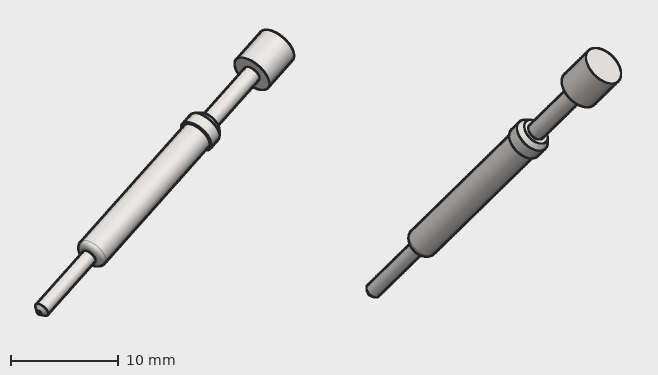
import cadquery as cq
import math

total_length = 38.0
head_diameter = 4.0
head_length = 4.0
plunger_diameter = 1.75
plunger_length = 7.03
collar_diameter = 3.5
collar_length = 1.85
collar_face_diameter = 2.65
collar_nose_length = 0.57
collar_nose_bulge = 0.05
barrel_diameter = 3.05
barrel_edge_radius = 0.57
tail_diameter = 1.5
tail_length = 7.98
tip_diameter = 0.57
tip_length = 0.4

head_top = total_length / 2
head_base = head_top - head_length
collar_top = head_base - plunger_length
collar_base = collar_top - collar_length
tail_end = head_top - total_length
tail_top = tail_end + tail_length
tip_base = tail_end + tip_length

head_radius = head_diameter / 2
plunger_radius = plunger_diameter / 2
collar_radius = collar_diameter / 2
collar_face_radius = collar_face_diameter / 2
barrel_radius = barrel_diameter / 2
tail_radius = tail_diameter / 2
tip_radius = tip_diameter / 2

arc_inset = barrel_edge_radius * (1 - math.sqrt(0.5))

outline = (
    cq.Workplane("XY")
    .moveTo(0, head_top)
    .lineTo(head_radius, head_top)
    .lineTo(head_radius, head_base)
    .lineTo(plunger_radius, head_base)
    .lineTo(plunger_radius, collar_top)
    .lineTo(collar_face_radius, collar_top)
    .sagittaArc((collar_radius, collar_top - collar_nose_length), collar_nose_bulge)
    .lineTo(collar_radius, collar_base)
    .lineTo(barrel_radius, collar_base)
    .lineTo(barrel_radius, tail_top + barrel_edge_radius)
    .threePointArc(
        (barrel_radius - arc_inset, tail_top + arc_inset),
        (barrel_radius - barrel_edge_radius, tail_top),
    )
    .lineTo(tail_radius, tail_top)
    .lineTo(tail_radius, tip_base)
    .lineTo(tip_radius, tail_end)
    .lineTo(0, tail_end)
    .close()
)

result = outline.revolve(360, (0, 0, 0), (0, 1, 0))